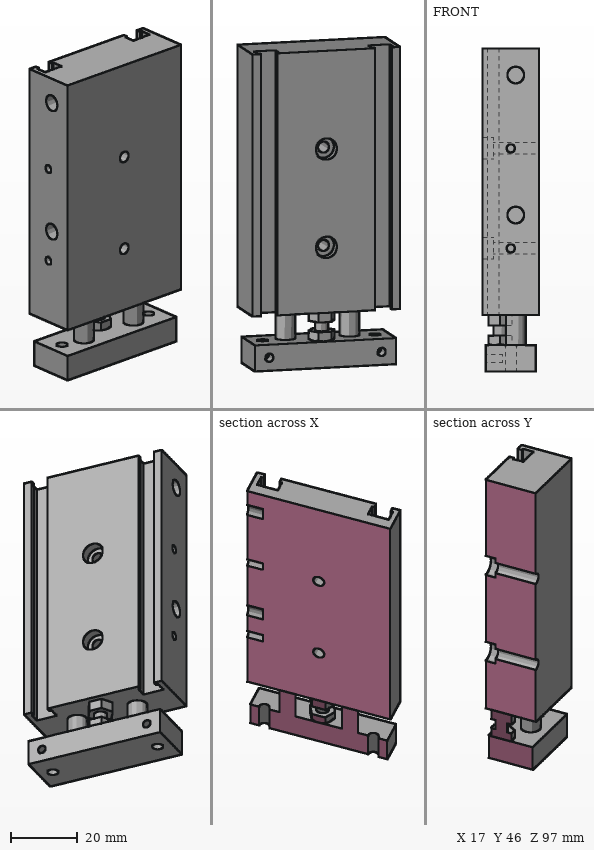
import cadquery as cq
import math


housing_x = 17.0
housing_y = 46.0
housing_z = 80.0
housing_left = -housing_x / 2
housing_front = -housing_y / 2

slot_edge_offset = 5.2
slot_y = housing_y / 2 - slot_edge_offset
slot_mouth_width = 5.2
slot_inner_width = 6.6
slot_lip = 1.5
slot_depth = 5.0

mount_depths = (30.0, 60.0)
mount_diameter = 3.4
counterbore_diameter = 6.5
counterbore_depth = 3.3
pilot_diameter = 2.46
pilot_depth = 5.0

port_depths = (8.0, 50.0)
port_x = 1.5
port_diameter = 5.0
port_depth = 5.0

stroke_gap = 9.0
plate_x = 15.0
plate_y = 44.0
plate_z = 8.0
plate_top = -housing_z - stroke_gap
plate_hole_y = 17.5
plate_hole_diameter = 3.3
rod_diameter = 6.0
rod_x = 1.5
rod_y = 10.0

bolt_x = -3.2
bolt_diameter = 4.0
hex_across_flats = 7.0
lock_nut_height = 3.2
head_height = 2.8
head_chamfer_height = 0.3
hex_across_corners = hex_across_flats / math.cos(math.pi / 6)


def bore_along_x(left, y, z, diameter, depth):
    """Cylinder that starts at X = left and runs toward +X."""
    return cq.Workplane("YZ", origin=(left, y, z)).circle(diameter / 2).extrude(depth)


def bore_along_y(x, z, diameter, depth):
    """Cylinder that starts at the housing's -Y face and runs toward +Y."""
    return cq.Workplane("XZ", origin=(x, housing_front, z)).circle(diameter / 2).extrude(-depth)


def block_below(size_x, size_y, size_z, top):
    """Block centred on the Z axis that hangs down from Z = top."""
    return cq.Workplane("XY", origin=(0, 0, top)).rect(size_x, size_y).extrude(-size_z)


def make_t_slot(y):
    """T-slot cutter: a narrow mouth through the lip and a wider chamber behind it."""
    mouth = cq.Workplane("XY").box(slot_depth, slot_mouth_width, housing_z, centered=(False, True, False))
    chamber = (
        cq.Workplane("XY", origin=(slot_lip, 0, 0))
        .box(slot_depth - slot_lip, slot_inner_width, housing_z, centered=(False, True, False))
    )
    return mouth.union(chamber).translate((housing_left, y, -housing_z))


def make_housing():
    body = block_below(housing_x, housing_y, housing_z, 0)
    for side in (-1, 1):
        body = body.cut(make_t_slot(side * slot_y))
    for depth in mount_depths:
        body = body.cut(bore_along_x(housing_left, 0, -depth, mount_diameter, housing_x))
        body = body.cut(bore_along_x(housing_left, 0, -depth, counterbore_diameter, counterbore_depth))
        body = body.cut(bore_along_y(0, -depth, pilot_diameter, pilot_depth))
    for depth in port_depths:
        body = body.cut(bore_along_y(port_x, -depth, port_diameter, port_depth))
    return body


def make_plate_with_rods():
    body = block_below(plate_x, plate_y, plate_z, plate_top)
    pilot_z = plate_top - plate_z / 2
    for side in (-1, 1):
        hole_y = side * plate_hole_y
        clearance_hole = (
            cq.Workplane("XY", origin=(0, hole_y, plate_top))
            .circle(plate_hole_diameter / 2)
            .extrude(-plate_z)
        )
        pilot_hole = bore_along_x(-plate_x / 2, hole_y, pilot_z, pilot_diameter, pilot_depth)
        rod = (
            cq.Workplane("XY", origin=(rod_x, side * rod_y, plate_top))
            .circle(rod_diameter / 2)
            .extrude(stroke_gap)
        )
        body = body.cut(clearance_hole).cut(pilot_hole).union(rod)
    return body


def make_hexagon(bottom, height):
    """Hexagonal prism on the bolt axis with two corners on the Y direction."""
    return (
        cq.Workplane("XY", origin=(bolt_x, 0, bottom))
        .transformed(rotate=(0, 0, 90))
        .polygon(6, hex_across_corners)
        .extrude(height)
    )


def make_stop_bolt():
    """Bolt with its head on the plate and its lock nut against the housing."""
    shank = (
        cq.Workplane("XY", origin=(bolt_x, 0, plate_top))
        .circle(bolt_diameter / 2)
        .extrude(stroke_gap)
    )
    head_blank = (
        cq.Workplane("XY", origin=(bolt_x, 0, plate_top))
        .circle(hex_across_corners / 2)
        .extrude(head_height)
        .faces("<Z")
        .chamfer(head_chamfer_height, (hex_across_corners - hex_across_flats) / 2)
    )
    head = make_hexagon(plate_top, head_height).intersect(head_blank)
    lock_nut = make_hexagon(-housing_z - lock_nut_height, lock_nut_height)
    return shank.union(head).union(lock_nut)


housing = make_housing()
plate_with_rods = make_plate_with_rods()
stop_bolt = make_stop_bolt()

result = cq.Compound.makeCompound([housing.val(), plate_with_rods.val(), stop_bolt.val()])